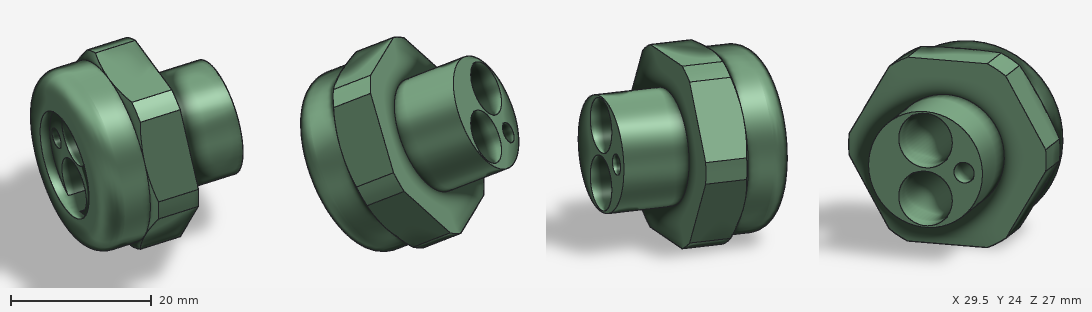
import cadquery as cq
import math

total_length = 24.0
spigot_length = 10.0
hex_length = 7.02
dome_length = total_length - spigot_length - hex_length
across_flats = 27.0
across_corners = 29.5
spigot_diameter = 17.0
dome_fillet = 3.0
hex_chamfer_angle = 30.0

bore_diameter = 16.0
recess_depth = 1.5
bore_depth = 6.5
large_hole_diameter = 8.0
large_hole_offset = 4.25
small_hole_diameter = 3.0
small_hole_offset = 5.75

dome_end = -total_length / 2
hex_front = dome_end + dome_length
hex_back = hex_front + hex_length


def cylinder(diameter, start, length, x=0, z=0):
    """Cylinder along +Y from the given start, centred on (x, z)."""
    solid = cq.Solid.makeCylinder(
        diameter / 2, length, cq.Vector(x, start, z), cq.Vector(0, 1, 0)
    )
    return cq.Workplane(obj=solid)


def hexagon():
    """Hexagon with flats facing +/-Z, turned corners and a chamfered front."""
    prism = (
        cq.Workplane("XZ", origin=(0, hex_front, 0))
        .polygon(6, across_flats / math.cos(math.radians(30)))
        .extrude(-hex_length)
    )
    chamfer_width = (across_corners - across_flats) / 2
    chamfer_depth = chamfer_width * math.tan(math.radians(hex_chamfer_angle))
    turned_envelope = (
        cq.Workplane("XY")
        .moveTo(0, hex_front)
        .lineTo(across_flats / 2, hex_front)
        .lineTo(across_corners / 2, hex_front + chamfer_depth)
        .lineTo(across_corners / 2, hex_back)
        .lineTo(0, hex_back)
        .close()
        .revolve(360, (0, 0, 0), (0, 1, 0))
    )
    return prism.intersect(turned_envelope)


def dome():
    """Round cap with a rolled front edge."""
    return cylinder(across_flats, dome_end, dome_length).faces("<Y").edges().fillet(dome_fillet)


def cable_holes(start, length):
    """Two large holes, one above the other, and one small hole beside them."""
    holes = cylinder(small_hole_diameter, start, length, x=-small_hole_offset)
    for side in (-1, 1):
        holes = holes.union(
            cylinder(large_hole_diameter, start, length, z=side * large_hole_offset)
        )
    return holes


body = hexagon().union(dome()).union(cylinder(spigot_diameter, hex_back, spigot_length))
bore = cylinder(bore_diameter, dome_end, bore_depth)
recess = cylinder(bore_diameter, dome_end, recess_depth)

seal_holes = cable_holes(dome_end, bore_depth).intersect(bore)
body_holes = cable_holes(dome_end + bore_depth, total_length - bore_depth)

result = body.cut(recess).cut(seal_holes).cut(body_holes)